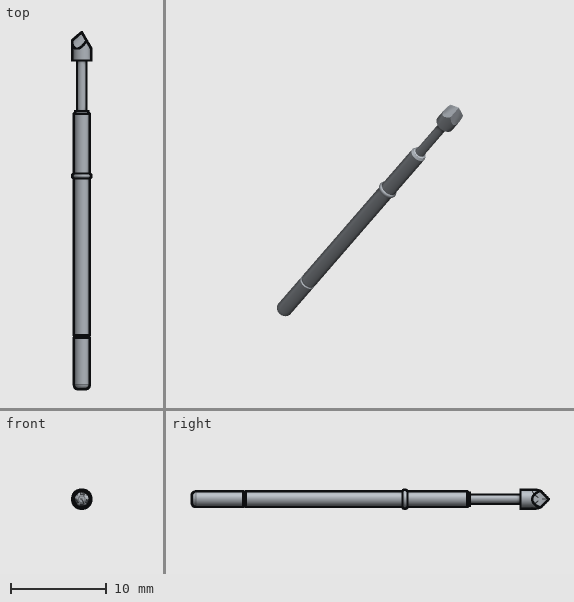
import cadquery as cq
import math

length = 37.3
tip_y = length / 2
tail_y = -length / 2

head_radius = 1.0
head_length = 3.0
shaft_radius = 0.505
face_count = 3
face_tilt = 30.0

barrel_radius = 0.84
mouth_taper_length = 0.3
neck_radius = 0.65
lip_radius = 0.7
lip_length = 0.07
plunger_travel = 5.25
bead_y = 3.6
bead_width = 0.52
groove_y = -13.13
groove_width = 0.35
groove_depth = 0.1
groove_bottom_offset = 0.07
tail_round = 0.5

head_base_y = tip_y - head_length
mouth_y = head_base_y - plunger_travel


def revolved_body():
    """Head, shaft and barrel as one half profile (radius, y) turned about Y."""
    arc_middle = tail_round * math.cos(math.radians(45))
    return (
        cq.Workplane("XY")
        .moveTo(0, tail_y)
        .lineTo(barrel_radius - tail_round, tail_y)
        .threePointArc(
            (barrel_radius - tail_round + arc_middle, tail_y + tail_round - arc_middle),
            (barrel_radius, tail_y + tail_round),
        )
        .lineTo(barrel_radius, groove_y - groove_width / 2)
        .lineTo(barrel_radius - groove_depth, groove_y - groove_bottom_offset)
        .lineTo(barrel_radius, groove_y + groove_width / 2)
        .lineTo(barrel_radius, bead_y - bead_width / 2)
        .threePointArc((head_radius, bead_y), (barrel_radius, bead_y + bead_width / 2))
        .lineTo(barrel_radius, mouth_y - mouth_taper_length)
        .lineTo(neck_radius, mouth_y - lip_length)
        .lineTo(lip_radius, mouth_y)
        .lineTo(shaft_radius, mouth_y)
        .lineTo(shaft_radius, head_base_y)
        .lineTo(head_radius, head_base_y)
        .lineTo(head_radius, tip_y)
        .lineTo(0, tip_y)
        .close()
        .revolve(360, (0, 0, 0), (0, 1, 0))
    )


def point_cutter():
    """Material outside the point face that looks toward +X; its slope starts at the apex."""
    reach = 2 * head_radius
    depth = reach / math.tan(math.radians(face_tilt))
    return (
        cq.Workplane("XY")
        .moveTo(0, tip_y)
        .lineTo(reach, tip_y - depth)
        .lineTo(reach, tip_y)
        .close()
        .extrude(reach, both=True)
    )


result = revolved_body()
for index in range(face_count):
    turn = index * 360 / face_count
    result = result.cut(point_cutter().rotate((0, 0, 0), (0, 1, 0), turn))